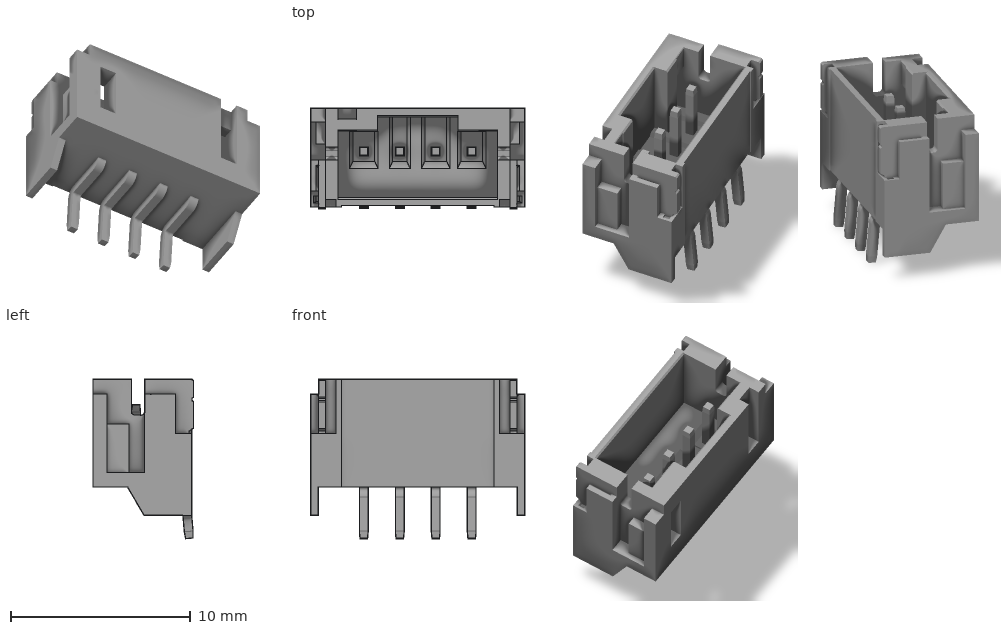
import cadquery as cq
import math


LENGTH = 11.9
DEPTH = 5.5
HEIGHT = 6.0
HALF_LENGTH = LENGTH / 2
BODY_HALF = 5.12
PANEL_HALF = 4.22
PANEL_RECESS = 0.07

CAVITY_HALF = 4.43
FLOOR_Z = 1.5
FRONT_WALL = 0.52
LEDGE_Y = 4.19
BAY_HALF = 2.23
BAY_BACK_Y = 5.0
RIM_CHAMFER = 0.1

WINDOW_INNER_X = 3.42
WINDOW_TOP_Z = 4.6
BRIDGE_Y = 4.24
BRIDGE_CHAMFER = RIM_CHAMFER - (BRIDGE_Y - LEDGE_Y)
MARK_DEPTH = 0.62

PIN_COUNT = 4
PITCH = 2.0
PIN_XS = [PITCH * (i - (PIN_COUNT - 1) / 2) for i in range(PIN_COUNT)]
WELL_FRONT_Y = 2.14
WELL_WIDTHS = [1.6, 1.17, 1.6, 1.6]
WELL_SIDE_SLOPE = 0.19
WELL_FRONT_SLOPE = 0.39
WELL_DEPTH = WELL_SIDE_SLOPE

WING_TOP_Z = 5.18
SLOT_FRONT_Y = 2.62
SLOT_BACK_Y = 3.34
SLOT_FLOOR_Z = 4.01
SLOT_FILLET = 0.19
POST_FRONT_Y = 4.71
RECESS_FLOOR_Z = 0.81
BOSS_X = 5.64
BOSS_FRONT_Y = 3.5
BOSS_TOP_Z = 3.5

LEG_THICKNESS = 0.43
LEG_LENGTH = 1.57
LEG_BACK_TOP_Y = 3.57
LEG_BACK_BOTTOM_Y = 2.65

NOTCH_Z = 2.99
WING_NOTCH_Y = 0.89
WALL_NOTCH_X = 4.55
WALL_NOTCH_Y = 0.43

TAB_THICKNESS = 0.39
TAB_OUTER_X = BODY_HALF + TAB_THICKNESS
TAB_FRONT_Y = -0.11
TAB_ROOT_FRONT_Y = 0.15
TAB_ROOT_BACK_Y = 2.3
TAB_BOTTOM_Z = FLOOR_Z
TAB_SLOPE_LOW_Z = 3.12
TAB_SLOPE_HIGH_Z = 3.27
TAB_CORNER = 0.08
GROOVE_Z = 4.88
GROOVE_WIDTH = 0.27
GROOVE_DEPTH = 0.08

LEAD_IN = 0.13
POCKET_OUTER_X = 5.8
POCKET_FRONT_Y = 0.23
POCKET_BACK_Y = 0.62
POCKET_SLOPE_Y = 0.07

PIN = 0.5
PIN_Y = 3.09
PIN_TOP_Z = 4.58
TIP_LENGTH = 0.39
TIP_INSET = 0.04
TOTAL_HEIGHT = 8.87
PIN_TAIL_Z = HEIGHT - TOTAL_HEIGHT
PIN_LEAN = 5.0
BEND_OUTER = 0.61
BEND_FRONT_Y = 0.08
BEND_INNER = BEND_OUTER - PIN


def block(x0, x1, y0, y1, z0, z1):
    """Box between two opposite corners."""
    return cq.Workplane("XY").box(x1 - x0, y1 - y0, z1 - z0, centered=False).translate((x0, y0, z0))


def side_plate(points, x0, x1):
    """Plate with a (Y, Z) outline, between two X positions."""
    return cq.Workplane("YZ").polyline(points).close().extrude(x1 - x0).translate((x0, 0, 0))


def both_ends(shape):
    """The shape and its mirror image at the other end."""
    return shape.union(shape.mirror("YZ"))


def lofted_block(outline_low, outline_high):
    """Solid lofted between two closed loops of points."""
    loops = [cq.Wire.makePolygon([cq.Vector(*p) for p in o], close=True) for o in (outline_low, outline_high)]
    return cq.Workplane(obj=cq.Solid.makeLoft(loops, True))


def rectangle(x0, x1, y0, y1, z):
    """Corner points of a level rectangle."""
    return [(x0, y0, z), (x1, y0, z), (x1, y1, z), (x0, y1, z)]


def outer_form():
    """Solid housing with wings, bosses, legs and the recessed front panel."""
    body = block(-BODY_HALF, BODY_HALF, 0, DEPTH, 0, HEIGHT)
    wing = block(BODY_HALF, HALF_LENGTH, 0, DEPTH, 0, WING_TOP_Z)
    recess = block(BODY_HALF, HALF_LENGTH, SLOT_FRONT_Y, POST_FRONT_Y, RECESS_FLOOR_Z, WING_TOP_Z)
    boss = block(BODY_HALF, BOSS_X, BOSS_FRONT_Y, POST_FRONT_Y, RECESS_FLOOR_Z, BOSS_TOP_Z)
    leg_outline = [(0, 0), (LEG_BACK_TOP_Y, 0), (LEG_BACK_BOTTOM_Y, -LEG_LENGTH), (0, -LEG_LENGTH)]
    leg = side_plate(leg_outline, HALF_LENGTH - LEG_THICKNESS, HALF_LENGTH)
    end = wing.cut(recess).union(boss).union(leg)
    panel = block(-PANEL_HALF, PANEL_HALF, 0, PANEL_RECESS, 0, HEIGHT)
    return body.union(both_ends(end)).cut(panel)


def cavity():
    """Main cavity and the deeper bay between the ledges."""
    front = block(-CAVITY_HALF, CAVITY_HALF, FRONT_WALL, LEDGE_Y, FLOOR_Z, HEIGHT)
    bay = block(-BAY_HALF, BAY_HALF, LEDGE_Y, BAY_BACK_Y, FLOOR_Z, HEIGHT)
    return front.union(bay)


def rim_chamfer(y, direction, size, x0, x1):
    """Wedge that bevels the top edge of a cavity wall whose face is at y."""
    outline = [(y, HEIGHT), (y + direction * size, HEIGHT), (y, HEIGHT - size)]
    return side_plate(outline, x0, x1)


def rim_chamfers():
    """Bevels along the top edges of the front and back cavity walls."""
    front = rim_chamfer(FRONT_WALL, -1, RIM_CHAMFER, -CAVITY_HALF, CAVITY_HALF)
    bay = rim_chamfer(BAY_BACK_Y, 1, RIM_CHAMFER, -BAY_HALF, BAY_HALF)
    ledge = rim_chamfer(LEDGE_Y, 1, RIM_CHAMFER, BAY_HALF, WINDOW_INNER_X)
    bridge = rim_chamfer(BRIDGE_Y, 1, BRIDGE_CHAMFER, WINDOW_INNER_X, CAVITY_HALF)
    return front.union(bay).union(both_ends(ledge.union(bridge)))


def windows():
    """Openings through the back wall and the notch that marks the first pin."""
    opening = block(WINDOW_INNER_X, CAVITY_HALF, LEDGE_Y, DEPTH, FLOOR_Z, WINDOW_TOP_Z)
    bridge_relief = block(WINDOW_INNER_X, CAVITY_HALF, LEDGE_Y, BRIDGE_Y, FLOOR_Z, HEIGHT)
    mark = block(-CAVITY_HALF, -WINDOW_INNER_X, DEPTH - MARK_DEPTH, DEPTH, FLOOR_Z, HEIGHT)
    return both_ends(opening.union(bridge_relief)).union(mark)


def well(x, width):
    """Trough around a pin, sloped at its front and sides."""
    back_y = BAY_BACK_Y if abs(x) < BAY_HALF else LEDGE_Y
    half_top = width / 2
    half_bottom = half_top - WELL_SIDE_SLOPE
    bottom = rectangle(x - half_bottom, x + half_bottom, WELL_FRONT_Y + WELL_FRONT_SLOPE, back_y,
                       FLOOR_Z - WELL_DEPTH)
    top = rectangle(x - half_top, x + half_top, WELL_FRONT_Y, back_y, FLOOR_Z)
    return lofted_block(bottom, top)


def end_slots():
    """Slots across the end walls, rounded at the bottom."""
    slot = block(CAVITY_HALF, BODY_HALF, SLOT_FRONT_Y, SLOT_BACK_Y, SLOT_FLOOR_Z, HEIGHT)
    return both_ends(slot.edges("|X and <Z").fillet(SLOT_FILLET))


def corner_notches():
    """Clearance around the front edges of the tabs."""
    wing_notch = block(BODY_HALF, HALF_LENGTH, 0, WING_NOTCH_Y, NOTCH_Z, WING_TOP_Z)
    wall_notch = block(WALL_NOTCH_X, BODY_HALF, 0, WALL_NOTCH_Y, NOTCH_Z, HEIGHT)
    return both_ends(wing_notch.union(wall_notch))


def lead_ins():
    """Bevelled openings on the outer side of each tab."""
    bevel = lofted_block(
        rectangle(BODY_HALF, TAB_OUTER_X, WING_NOTCH_Y, TAB_ROOT_BACK_Y - LEAD_IN, WING_TOP_Z - LEAD_IN),
        rectangle(BODY_HALF, TAB_OUTER_X + LEAD_IN, WING_NOTCH_Y, TAB_ROOT_BACK_Y, WING_TOP_Z))
    pocket = lofted_block(
        rectangle(BODY_HALF, POCKET_OUTER_X - LEAD_IN, POCKET_FRONT_Y + POCKET_SLOPE_Y, POCKET_BACK_Y,
                  NOTCH_Z - LEAD_IN),
        rectangle(BODY_HALF, POCKET_OUTER_X, POCKET_FRONT_Y, POCKET_BACK_Y, NOTCH_Z))
    return both_ends(bevel.union(pocket))


def make_tab():
    """Tab at the +X end."""
    outline = [
        (TAB_ROOT_BACK_Y, TAB_BOTTOM_Z),
        (TAB_ROOT_BACK_Y, WING_TOP_Z),
        (SLOT_FRONT_Y, WING_TOP_Z),
        (SLOT_FRONT_Y, HEIGHT),
        (TAB_FRONT_Y + TAB_CORNER, HEIGHT),
        (TAB_FRONT_Y, HEIGHT - TAB_CORNER),
        (TAB_FRONT_Y, GROOVE_Z + GROOVE_WIDTH / 2),
        (TAB_FRONT_Y + GROOVE_DEPTH, GROOVE_Z + GROOVE_WIDTH / 2 - GROOVE_DEPTH),
        (TAB_FRONT_Y + GROOVE_DEPTH, GROOVE_Z - GROOVE_WIDTH / 2 + GROOVE_DEPTH),
        (TAB_FRONT_Y, GROOVE_Z - GROOVE_WIDTH / 2),
        (TAB_FRONT_Y, TAB_SLOPE_HIGH_Z),
        (TAB_ROOT_FRONT_Y, TAB_SLOPE_LOW_Z),
        (TAB_ROOT_FRONT_Y, TAB_BOTTOM_Z),
    ]
    return side_plate(outline, BODY_HALF, TAB_OUTER_X)


def tip(length):
    """Tapered square end, standing on the XY plane."""
    taper = math.degrees(math.atan(TIP_INSET / length))
    return cq.Workplane("XY").rect(PIN, PIN).extrude(length, taper=taper)


def make_pin(x):
    """Pin that runs down through the floor, forward under the body and down again."""
    lean = math.radians(PIN_LEAN)
    back = PIN_Y + PIN / 2
    front = PIN_Y - PIN / 2
    heel_y = front - BEND_INNER
    heel_z = BEND_INNER
    bend_y = BEND_OUTER + BEND_FRONT_Y
    sweep = math.radians(90 - PIN_LEAN)

    def on_bend(radius, angle):
        """Point (Y, Z) on the front bend, turned from the level run."""
        return (bend_y - radius * math.sin(angle), -BEND_OUTER + radius * math.cos(angle))

    def on_heel(radius):
        """Point (Y, Z) halfway round the bend below the upright shank."""
        half = radius * math.sqrt(0.5)
        return (heel_y + half, heel_z - half)

    tail_top = on_bend(BEND_OUTER - PIN / 2, sweep)
    tail_end_z = PIN_TAIL_Z + (PIN / 2 - TIP_INSET) * math.sin(lean)
    tail_length = (tail_top[1] - tail_end_z) / math.cos(lean) - TIP_LENGTH
    along = (-math.sin(lean) * tail_length, -math.cos(lean) * tail_length)
    outer_end = on_bend(BEND_OUTER, sweep)
    inner_end = on_bend(BEND_INNER, sweep)
    shank_top = PIN_TOP_Z - TIP_LENGTH
    shank = (
        cq.Workplane("YZ")
        .moveTo(back, shank_top)
        .lineTo(back, heel_z)
        .threePointArc(on_heel(BEND_OUTER), (heel_y, -PIN))
        .lineTo(bend_y, -PIN)
        .threePointArc(on_bend(BEND_INNER, sweep / 2), inner_end)
        .lineTo(inner_end[0] + along[0], inner_end[1] + along[1])
        .lineTo(outer_end[0] + along[0], outer_end[1] + along[1])
        .lineTo(*outer_end)
        .threePointArc(on_bend(BEND_OUTER, sweep / 2), (bend_y, 0))
        .lineTo(heel_y, 0)
        .threePointArc(on_heel(BEND_INNER), (front, heel_z))
        .lineTo(front, shank_top)
        .close()
        .extrude(PIN / 2, both=True)
    )
    top_tip = tip(TIP_LENGTH).translate((0, PIN_Y, shank_top))
    tail_tip = (
        tip(TIP_LENGTH)
        .rotate((0, 0, 0), (1, 0, 0), 180 - PIN_LEAN)
        .translate((0, tail_top[0] + along[0], tail_top[1] + along[1]))
    )
    return shank.union(top_tip).union(tail_tip).translate((x, 0, 0))


def make_housing(inserts):
    """Housing with every cut, and a matching hole for each inserted body."""
    housing = outer_form().cut(cavity()).cut(rim_chamfers()).cut(windows())
    for x, width in zip(PIN_XS, WELL_WIDTHS):
        housing = housing.cut(well(x, width))
    housing = housing.cut(end_slots()).cut(corner_notches()).cut(lead_ins())
    for insert in inserts:
        housing = housing.cut(insert)
    return housing


pins = [make_pin(x) for x in PIN_XS]
right_tab = make_tab()
tabs = [right_tab, right_tab.mirror("YZ")]
housing = make_housing(pins + tabs)

result = cq.Compound.makeCompound([housing.val(), *[body.val() for body in pins + tabs]])